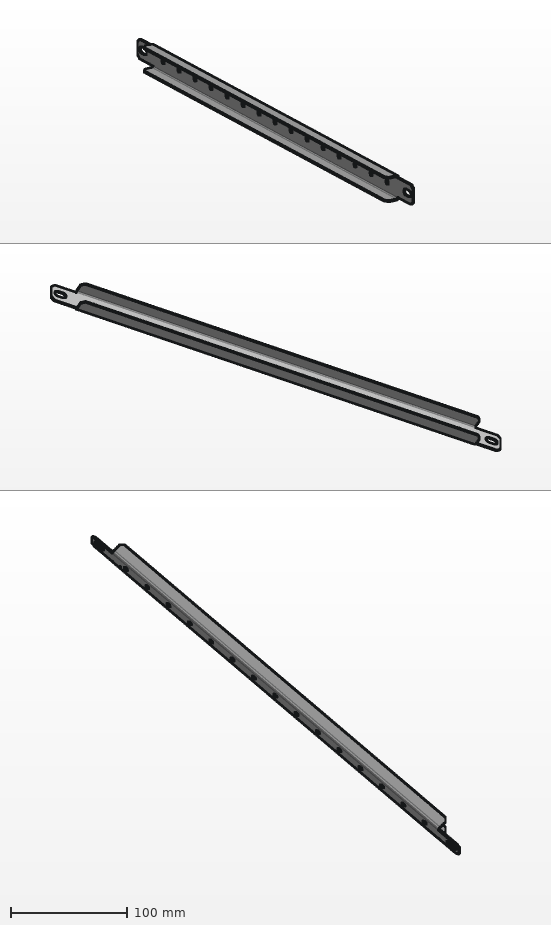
import cadquery as cq

LENGTH = 430.0
DEPTH = 12.5
HEIGHT = 23.0

SHEET = 1.5
BEND_INNER_RADIUS = 1.0
BEND_OUTER_RADIUS = BEND_INNER_RADIUS + SHEET

CHANNEL_LENGTH = 382.0
FLANGE_CHAMFER = 3.0

TAB_HEIGHT = HEIGHT - 2 * BEND_OUTER_RADIUS
TAB_CHAMFER = 3.0

SLOT_LENGTH = 11.0
SLOT_WIDTH = 6.0
SLOT_SPACING = 412.8

HOLE_DIAMETER = 4.2
HOLE_COUNT = 15
HOLE_PITCH = 25.0


def make_channel():
    """U-shaped channel along X, with its back at Y = 0 and its flanges toward -Y."""
    outer = (
        cq.Workplane("XY")
        .box(CHANNEL_LENGTH, DEPTH, HEIGHT)
        .translate((0, -DEPTH / 2, 0))
        .edges("|X and >Y")
        .fillet(BEND_OUTER_RADIUS)
    )
    inner_depth = DEPTH - SHEET
    inner = (
        cq.Workplane("XY")
        .box(CHANNEL_LENGTH, inner_depth, HEIGHT - 2 * SHEET)
        .translate((0, -SHEET - inner_depth / 2, 0))
        .edges("|X and >Y")
        .fillet(BEND_INNER_RADIUS)
    )
    return outer.cut(inner).edges("|Z and <Y").chamfer(FLANGE_CHAMFER)


def make_web_strip():
    """Flat strip over the full length, whose chamfered ends form the tabs."""
    return (
        cq.Workplane("XY")
        .box(LENGTH, SHEET, TAB_HEIGHT)
        .translate((0, -SHEET / 2, 0))
        .edges("|Y")
        .chamfer(TAB_CHAMFER)
    )


def make_web_holes():
    """Evenly spaced round cutters through the web."""
    return (
        cq.Workplane("XZ")
        .rarray(HOLE_PITCH, 1, HOLE_COUNT, 1)
        .circle(HOLE_DIAMETER / 2)
        .extrude(SHEET)
    )


def make_tab_slots():
    """One slot cutter through each tab, lengthwise along X."""
    return (
        cq.Workplane("XZ")
        .rarray(SLOT_SPACING, 1, 2, 1)
        .slot2D(SLOT_LENGTH, SLOT_WIDTH)
        .extrude(SHEET)
    )


bracket = make_channel().union(make_web_strip())
result = bracket.cut(make_web_holes()).cut(make_tab_slots())